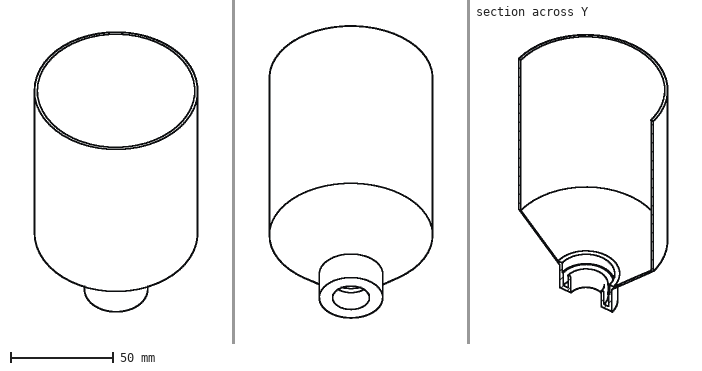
import cadquery as cq

total_height = 139.6
barrel_diameter = 80.0
barrel_bore = 77.0
barrel_base = 39.6
spout_diameter = 31.1
spout_height = 15.0

floor_thickness = 2.8
lower_socket_diameter = 27.0
upper_socket_diameter = 28.0
socket_step_height = 11.2

ledge_diameter = 33.0
ledge_height = 17.5

nozzle_bore = 18.0
nozzle_diameter = 21.6
nozzle_height = 11.2


def revolve_outline(outline):
    """Close a (radius, height) outline and turn it about the Z axis."""
    return outline.close().revolve(360, (0, 0), (0, 1))


def make_body():
    """Solid outside shape: spout, cone and barrel."""
    outline = cq.Workplane("XZ").polyline([
        (0, 0),
        (spout_diameter / 2, 0),
        (spout_diameter / 2, spout_height),
        (barrel_diameter / 2, barrel_base),
        (barrel_diameter / 2, total_height),
        (0, total_height),
    ])
    return revolve_outline(outline)


def make_cavity():
    """Space above the spout floor: stepped socket, ledge, cone and barrel bore."""
    outline = cq.Workplane("XZ").polyline([
        (0, floor_thickness),
        (lower_socket_diameter / 2, floor_thickness),
        (lower_socket_diameter / 2, socket_step_height),
        (upper_socket_diameter / 2, socket_step_height),
        (upper_socket_diameter / 2, ledge_height),
        (ledge_diameter / 2, ledge_height),
        (barrel_bore / 2, barrel_base),
        (barrel_bore / 2, total_height),
        (0, total_height),
    ])
    return revolve_outline(outline)


def make_nozzle():
    """Tube whose rim is a half circle across the full wall."""
    inner_radius = nozzle_bore / 2
    outer_radius = nozzle_diameter / 2
    rim_radius = (outer_radius - inner_radius) / 2
    rim_base = nozzle_height - rim_radius
    outline = (
        cq.Workplane("XZ")
        .moveTo(inner_radius, 0)
        .lineTo(outer_radius, 0)
        .lineTo(outer_radius, rim_base)
        .threePointArc((inner_radius + rim_radius, nozzle_height), (inner_radius, rim_base))
    )
    return revolve_outline(outline)


outlet = cq.Workplane("XY").circle(nozzle_bore / 2).extrude(floor_thickness)

result = make_body().cut(make_cavity()).cut(outlet).union(make_nozzle())